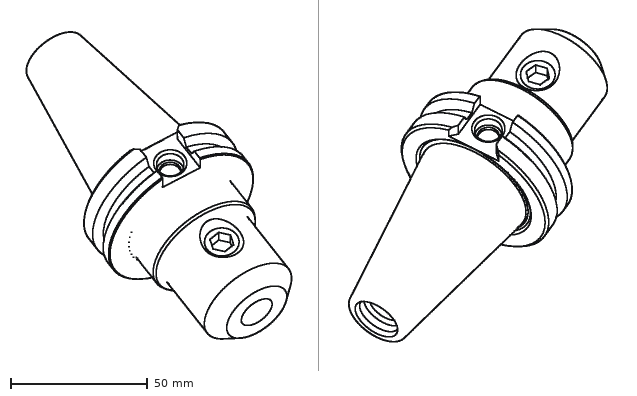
import cadquery as cq
import math

total_length = 138.1

gauge_radius = 44.5 / 2
gauge_x = 68.5
taper_ratio = 7 / 24
small_end_radius = gauge_radius - gauge_x * taper_ratio / 2
small_end_fillet = 1.0

flange_start_x = 68.9
flange_end_x = 87.0
flange_radius = 63.3 / 2
flange_front_chamfer = 1.0
flange_back_chamfer = 0.4
groove_radius = 28.0
groove_start_x = 75.8
groove_floor_start_x = 77.6
groove_floor_end_x = 81.1
groove_end_x = 83.0

relief_mouth_radius = 24.7
relief_floor_radius = 23.8
relief_root_fillet = 0.5
relief_depth = relief_mouth_radius - relief_floor_radius

collar_radius = gauge_radius
collar_end_x = 103.5
collar_chamfer_length = 1.1
collar_chamfer_depth = 0.5
collar_root_fillet = 0.8
nose_radius = 38.1 / 2
nose_root_fillet = 0.7
nose_chamfer = 6.0

bore_radius = 13.4 / 2
bore_mouth_radius = 18.2 / 2
bore_entry_radius = 16.7 / 2
mouth_cone_end_x = 2.0
entry_end_x = 5.0
entry_cone_end_x = 6.2

slot_half_width = 8.1
upper_slot_floor_z = 24.9
lower_slot_floor_z = -22.8
slot_chamfer = 2.6

dimple_x = (groove_floor_start_x + groove_floor_end_x) / 2
dimple_radius = 10.1 / 2
dimple_mouth_radius = 12.2 / 2
dimple_depth = 5.0
pilot_radius = 8.0 / 2
pilot_depth = 1.4
pilot_tip_angle = 118.0

screw_x = 114.4
screw_radius = 12.7 / 2
screw_top_z = 16.3
screw_bottom_z = 5.2
socket_across_corners = 9.0
socket_depth = 4.8
socket_turn = 42.0


def turned(points):
    """Solid of revolution about the X axis from (x, radius) points."""
    return cq.Workplane("XY").polyline(points).close().revolve(360, (0, 0, 0), (1, 0, 0))


def turned_z(x, points):
    """Solid of revolution about the vertical line at x from (radius, z) points."""
    profile = cq.Workplane("XZ").polyline(points).close()
    return profile.revolve(360, (0, 0, 0), (0, 1, 0)).translate((x, 0, 0))


def make_outer_shape():
    quarter = math.sqrt(0.5)
    tip_center_r = small_end_radius - small_end_fillet
    relief_floor_x = flange_start_x + relief_depth
    relief_center = (relief_floor_x - relief_root_fillet, gauge_radius + relief_root_fillet)
    root_center = (flange_end_x + collar_root_fillet, collar_radius + collar_root_fillet)
    nose_center = (collar_end_x + nose_root_fillet, nose_radius + nose_root_fillet)

    def arc_middle(center, radius, x_sign, r_sign):
        return (center[0] + x_sign * quarter * radius, center[1] + r_sign * quarter * radius)

    profile = (
        cq.Workplane("XY")
        .moveTo(0, 0)
        .lineTo(0, tip_center_r)
        .threePointArc(
            arc_middle((small_end_fillet, tip_center_r), small_end_fillet, -1, 1),
            (small_end_fillet, small_end_radius + small_end_fillet * taper_ratio / 2),
        )
        .lineTo(gauge_x, gauge_radius)
        .lineTo(relief_center[0], gauge_radius)
        .threePointArc(
            arc_middle(relief_center, relief_root_fillet, 1, -1), (relief_floor_x, relief_center[1])
        )
        .lineTo(relief_floor_x, relief_floor_radius)
        .lineTo(flange_start_x, relief_mouth_radius)
        .lineTo(flange_start_x, flange_radius - flange_front_chamfer)
        .lineTo(flange_start_x + flange_front_chamfer, flange_radius)
        .lineTo(groove_start_x, flange_radius)
        .lineTo(groove_floor_start_x, groove_radius)
        .lineTo(groove_floor_end_x, groove_radius)
        .lineTo(groove_end_x, flange_radius)
        .lineTo(flange_end_x - flange_back_chamfer, flange_radius)
        .lineTo(flange_end_x, flange_radius - flange_back_chamfer)
        .lineTo(flange_end_x, root_center[1])
        .threePointArc(
            arc_middle(root_center, collar_root_fillet, -1, -1), (root_center[0], collar_radius)
        )
        .lineTo(collar_end_x - collar_chamfer_length, collar_radius)
        .lineTo(collar_end_x, collar_radius - collar_chamfer_depth)
        .lineTo(collar_end_x, nose_center[1])
        .threePointArc(
            arc_middle(nose_center, nose_root_fillet, -1, -1), (nose_center[0], nose_radius)
        )
        .lineTo(total_length - nose_chamfer, nose_radius)
        .lineTo(total_length, nose_radius - nose_chamfer)
        .lineTo(total_length, 0)
        .close()
    )
    return profile.revolve(360, (0, 0, 0), (1, 0, 0))


def make_bore():
    return turned([
        (0, 0),
        (0, bore_mouth_radius),
        (mouth_cone_end_x, bore_entry_radius),
        (entry_end_x, bore_entry_radius),
        (entry_cone_end_x, bore_radius),
        (total_length, bore_radius),
        (total_length, 0),
    ])


def make_slot(floor_z, direction):
    """Slot from floor_z outwards; direction is +1 for up and -1 for down."""
    wide = slot_half_width + slot_chamfer
    chamfer_end_x = flange_start_x + slot_chamfer
    return (
        cq.Workplane("XY", origin=(0, 0, floor_z))
        .polyline([
            (flange_start_x, -wide),
            (chamfer_end_x, -slot_half_width),
            (flange_end_x, -slot_half_width),
            (flange_end_x, slot_half_width),
            (chamfer_end_x, slot_half_width),
            (flange_start_x, wide),
        ])
        .close()
        .extrude(direction * flange_radius - floor_z)
    )


def make_dimple():
    """Chamfered hole with a smaller drilled pilot in its flat bottom."""
    step_z = upper_slot_floor_z - dimple_depth
    pilot_bottom_z = step_z - pilot_depth
    tip_z = pilot_bottom_z - pilot_radius / math.tan(math.radians(pilot_tip_angle / 2))
    return turned_z(dimple_x, [
        (0, upper_slot_floor_z),
        (dimple_mouth_radius, upper_slot_floor_z),
        (dimple_radius, upper_slot_floor_z - (dimple_mouth_radius - dimple_radius)),
        (dimple_radius, step_z),
        (pilot_radius, step_z),
        (pilot_radius, pilot_bottom_z),
        (0, tip_z),
    ])


def make_screw_hole():
    """Hole for the screw, opened by a 45 degree cone above it."""
    mouth_radius = screw_radius + nose_radius - screw_top_z
    return turned_z(screw_x, [
        (0, 0),
        (screw_radius, 0),
        (screw_radius, screw_top_z),
        (mouth_radius, nose_radius),
        (0, nose_radius),
    ])


def make_holder():
    return (
        make_outer_shape()
        .cut(make_bore())
        .cut(make_slot(upper_slot_floor_z, 1))
        .cut(make_slot(lower_slot_floor_z, -1))
        .cut(make_dimple())
        .cut(make_screw_hole())
    )


def make_screw():
    body = (
        cq.Workplane("XY", origin=(screw_x, 0, screw_bottom_z))
        .circle(screw_radius)
        .extrude(screw_top_z - screw_bottom_z)
    )
    socket = (
        cq.Workplane("XY", origin=(screw_x, 0, screw_top_z))
        .transformed(rotate=(0, 0, socket_turn))
        .polygon(6, socket_across_corners)
        .extrude(-socket_depth)
    )
    return body.cut(socket)


holder = make_holder()
screw = make_screw()
result = cq.Compound.makeCompound([holder.val(), screw.val()])